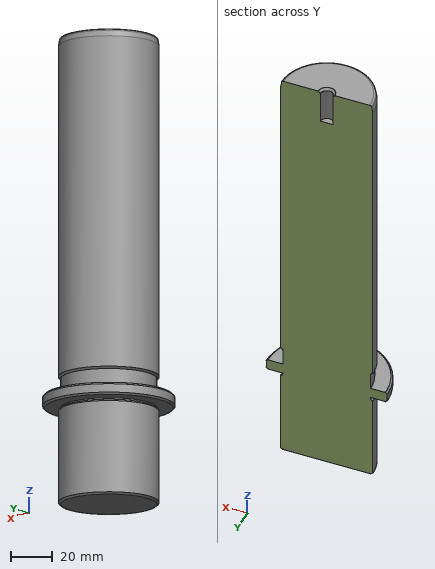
import cadquery as cq

total_length = 227.0
body_radius = 24.0
edge_chamfer = 1.0

flange_diameter = 63.0
flange_bottom = 47.0
flange_thickness = 6.0
flange_chamfer = 1.0
flange_top = flange_bottom + flange_thickness

neck_radius = 23.0
neck_length = 8.5
lower_groove_width = 0.7
neck_top = flange_top + neck_length
lower_body_top = flange_bottom - lower_groove_width

lead_length = 3.6
lead_radius = 23.4
end_round = 1.1

hole_diameter = 6.4
hole_mouth_diameter = 8.6
hole_depth = 18.2


def make_lower_body():
    """Plain cylinder with both rims chamfered down to the neck radius."""
    chamfer_width = body_radius - neck_radius
    return (
        cq.Workplane("XY")
        .circle(body_radius)
        .extrude(lower_body_top)
        .faces("<Z or >Z")
        .chamfer(edge_chamfer, chamfer_width)
    )


def make_flange():
    return (
        cq.Workplane("XY", origin=(0, 0, flange_bottom))
        .circle(flange_diameter / 2)
        .extrude(flange_thickness)
        .faces("<Z or >Z")
        .chamfer(flange_chamfer)
    )


def make_neck():
    """Reduced core joining the lower body, flange and upper body."""
    return (
        cq.Workplane("XY", origin=(0, 0, lower_body_top))
        .circle(neck_radius)
        .extrude(neck_top - lower_body_top)
    )


def make_upper_body():
    """Guide cylinder with a chamfered lower rim and a tapered, rounded upper end."""
    profile = [
        (0, neck_top),
        (neck_radius, neck_top),
        (body_radius, neck_top + edge_chamfer),
        (body_radius, total_length - lead_length),
        (lead_radius, total_length),
        (0, total_length),
    ]
    body = cq.Workplane("XZ").polyline(profile).close().revolve(360, (0, 0, 0), (0, 1, 0))
    return body.faces(">Z").edges().fillet(end_round)


def make_centre_hole():
    """Blind hole with a 45 degree countersunk mouth."""
    mouth_depth = (hole_mouth_diameter - hole_diameter) / 2
    hole_bottom = total_length - hole_depth
    profile = [
        (0, hole_bottom),
        (hole_diameter / 2, hole_bottom),
        (hole_diameter / 2, total_length - mouth_depth),
        (hole_mouth_diameter / 2, total_length),
        (0, total_length),
    ]
    return cq.Workplane("XZ").polyline(profile).close().revolve(360, (0, 0, 0), (0, 1, 0))


result = (
    make_lower_body()
    .union(make_neck())
    .union(make_flange())
    .union(make_upper_body())
    .cut(make_centre_hole())
)